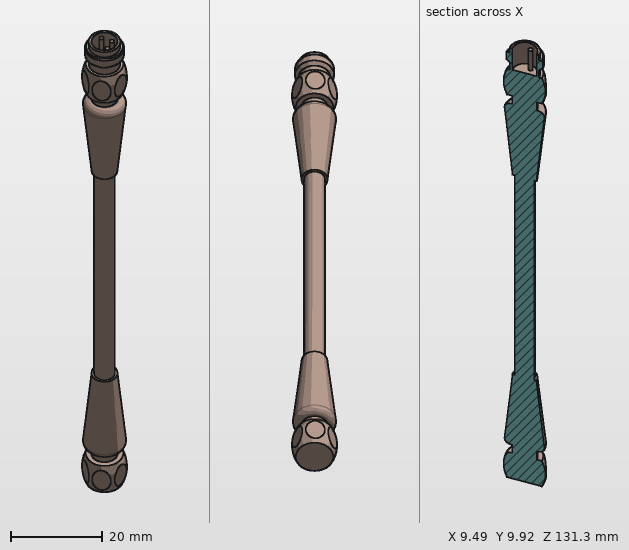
import cadquery as cq
import math

total_length = 131.34
cable_diameter = 4.6

boot_length = 21.7
boot_large_diameter = 9.49
boot_small_diameter = 5.7
boot_rounding = 1.65

nut_length = 7.9
nut_sides = 6
nut_across_flats = 9.0
nut_belly_diameter = 9.92
nut_end_diameter = 8.2

neck_diameter = 5.8
neck_length = 2.35

plug_diameter = 6.9
plug_length = 6.7
plug_bore_diameter = 5.7
plug_bore_depth = 6.5
collar_diameter = 8.6
collar_length = 3.1
collar_chamfer = 0.3
collar_base_chamfer = 0.8
collar_setback = 1.5

pin_diameter = 1.0
pin_circle_radius = 1.75
pin_angles = (-30, 60, 150)
pin_setback = 0.5

lower_boot_base = nut_length + neck_length
upper_nut_top = total_length - plug_length
upper_nut_base = upper_nut_top - nut_length
upper_boot_base = upper_nut_base - neck_length


def cylinder(diameter, bottom, top):
    return cq.Workplane("XY").workplane(offset=bottom).circle(diameter / 2).extrude(top - bottom)


def nut(bottom):
    """Barrel-shaped body of revolution with six flats cut into its belly."""
    end_radius = nut_end_diameter / 2
    barrel = (
        cq.Workplane("XZ")
        .lineTo(end_radius, 0)
        .threePointArc((nut_belly_diameter / 2, nut_length / 2), (end_radius, nut_length))
        .lineTo(0, nut_length)
        .close()
        .revolve(360, (0, 0, 0), (0, 1, 0))
    )
    half_side_angle = 180 / nut_sides
    across_corners = nut_across_flats / math.cos(math.radians(half_side_angle))
    hexagon = cq.Workplane("XY").polygon(nut_sides, across_corners).extrude(nut_length)
    hexagon = hexagon.rotate((0, 0, 0), (0, 0, 1), half_side_angle)
    return barrel.intersect(hexagon).translate((0, 0, bottom))


def boot(base, direction):
    """Tapered sleeve with a rounded large end at `base`, narrowing along `direction` (+1 or -1)."""
    large_radius = boot_large_diameter / 2
    round_end = base + direction * boot_rounding
    tip = base + direction * boot_length
    arc_offset = boot_rounding * (1 - math.sqrt(0.5))
    return (
        cq.Workplane("XZ")
        .moveTo(0, base)
        .lineTo(large_radius - boot_rounding, base)
        .threePointArc(
            (large_radius - arc_offset, base + direction * arc_offset),
            (large_radius, round_end),
        )
        .lineTo(boot_small_diameter / 2, tip)
        .lineTo(0, tip)
        .close()
        .revolve(360, (0, 0, 0), (0, 1, 0))
    )


def plug():
    """Collared tube, open at the top, with contact pins standing on the floor of its bore."""
    collar_top = total_length - collar_setback
    bore_floor = total_length - plug_bore_depth
    collar = cylinder(collar_diameter, collar_top - collar_length, collar_top)
    collar = collar.faces(">Z").chamfer(collar_chamfer).faces("<Z").chamfer(collar_base_chamfer)
    body = cylinder(plug_diameter, upper_nut_top, total_length).union(collar)
    body = body.cut(cylinder(plug_bore_diameter, bore_floor, total_length))
    for angle in pin_angles:
        x = pin_circle_radius * math.cos(math.radians(angle))
        y = pin_circle_radius * math.sin(math.radians(angle))
        pin = cylinder(pin_diameter, bore_floor, total_length - pin_setback)
        body = body.union(pin.translate((x, y, 0)))
    return body


result = (
    cylinder(cable_diameter, lower_boot_base, upper_boot_base)
    .union(nut(0))
    .union(cylinder(neck_diameter, nut_length, lower_boot_base))
    .union(boot(lower_boot_base, 1))
    .union(boot(upper_boot_base, -1))
    .union(cylinder(neck_diameter, upper_boot_base, upper_nut_base))
    .union(nut(upper_nut_base))
    .union(plug())
)